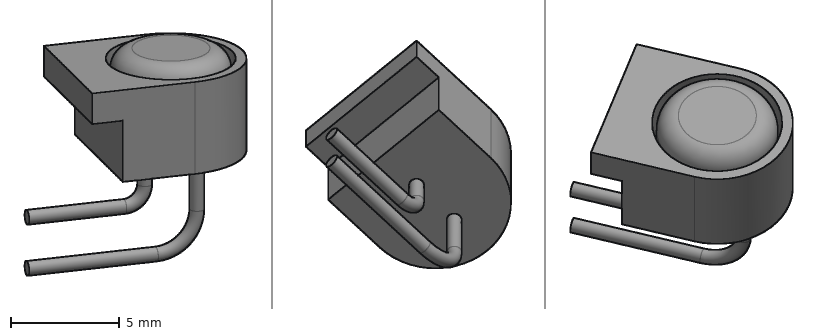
import cadquery as cq

housing_width = 7.0
housing_radius = housing_width / 2
housing_height = 4.5
base_front_y = -housing_radius
ledge_front_y = -5.0
ledge_thickness = 1.5

wall_thickness = 0.5
well_radius = housing_radius - wall_thickness
well_floor_z = wall_thickness
lens_clearance = 0.2
lens_radius = well_radius - lens_clearance
lens_protrusion = 0.5
lens_edge_radius = 1.0

lead_diameter = 0.7
lead_pitch = 2.54
lead_end_y = -7.0
rear_lead_drop = 5.0
rear_bend_radius = 2.0
front_lead_drop = 2.5
front_bend_radius = 1.0


def d_shaped_block(front_y, bottom_z, height):
    """Block with a flat front and a half-round back centred on the Z axis."""
    return (
        cq.Workplane("XY", origin=(0, 0, bottom_z))
        .moveTo(-housing_radius, front_y)
        .lineTo(housing_radius, front_y)
        .lineTo(housing_radius, 0)
        .threePointArc((0, housing_radius), (-housing_radius, 0))
        .close()
        .extrude(height)
    )


def make_housing():
    base = d_shaped_block(base_front_y, 0, housing_height)
    ledge = d_shaped_block(ledge_front_y, housing_height - ledge_thickness, ledge_thickness)
    well = (
        cq.Workplane("XY", origin=(0, 0, well_floor_z))
        .circle(well_radius)
        .extrude(housing_height - well_floor_z)
    )
    return base.union(ledge).cut(well)


def make_lens():
    """Cylinder rising from the well floor, with a rounded top edge."""
    return (
        cq.Workplane("XY", origin=(0, 0, well_floor_z))
        .circle(lens_radius)
        .extrude(housing_height + lens_protrusion - well_floor_z)
        .faces(">Z")
        .edges()
        .fillet(lens_edge_radius)
    )


def make_lead(start_y, drop, bend_radius):
    """Round wire going straight down from the housing, then bent toward -Y."""
    path = (
        cq.Workplane("YZ")
        .moveTo(start_y, 0)
        .lineTo(start_y, bend_radius - drop)
        .tangentArcPoint((start_y - bend_radius, -drop), relative=False)
        .lineTo(lead_end_y, -drop)
    )
    return cq.Workplane("XY", origin=(0, start_y, 0)).circle(lead_diameter / 2).sweep(path)


rear_lead = make_lead(lead_pitch / 2, rear_lead_drop, rear_bend_radius)
front_lead = make_lead(-lead_pitch / 2, front_lead_drop, front_bend_radius)

result = make_housing().union(make_lens()).union(rear_lead).union(front_lead)